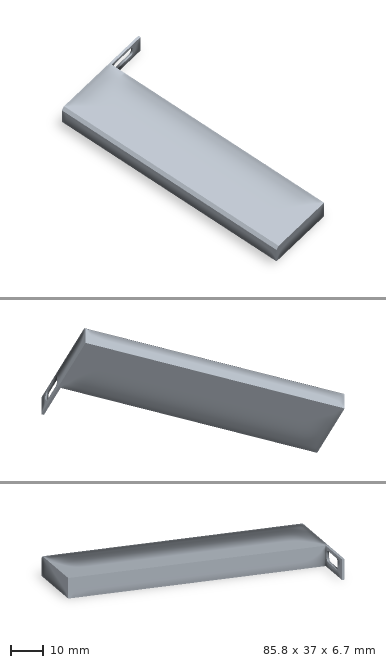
import cadquery as cq

length = 85.8
width = 37.0
height = 6.7

tab_length = 14.0
tab_thickness = 0.9

edge_chamfer = 1.0

window_length = 9.5
window_height = 3.7
window_corner_radius = 1.2
window_end_gap = 3.7
window_top_gap = 1.1


def make_block():
    """Solid block with its top front edge chamfered."""
    block = cq.Workplane("XY").box(length, width - tab_length, height, centered=False)
    return block.faces("<Y").edges(">Z").chamfer(edge_chamfer)


def make_tab():
    """Full-height plate behind the block, flush with its left end."""
    tab = cq.Workplane("XY").box(tab_thickness, tab_length, height, centered=False)
    return tab.translate((0, width - tab_length, 0))


def make_window():
    """Cutting body for the window, with its four corners rounded."""
    window = cq.Workplane("XY").box(tab_thickness, window_length, window_height, centered=False)
    window = window.edges("|X").fillet(window_corner_radius)
    window_y = width - window_end_gap - window_length
    window_z = height - window_top_gap - window_height
    return window.translate((0, window_y, window_z))


result = make_block().union(make_tab()).cut(make_window())